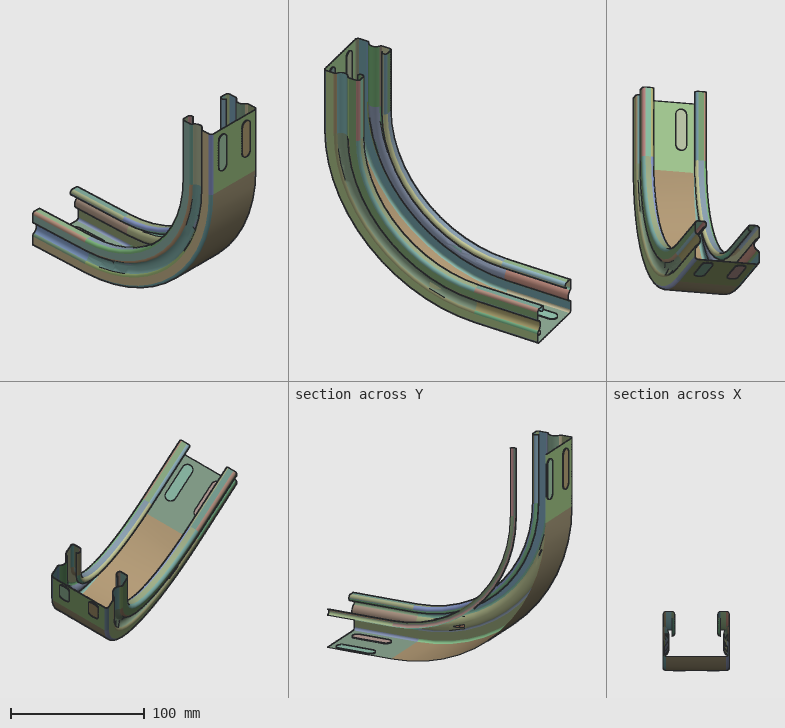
import cadquery as cq
import math

overall_size = 185.6
channel_width = 50.0
channel_height = 30.8
arm_length = 54.5
sheet_thickness = 0.5
corner_radius = 2.5

groove_height = 15.8
groove_half_width = 6.7
groove_valley_radius = 5.0
groove_lip_radius = 2.6

flange_reach = 9.1
curl_radius = 2.5
curl_straight = 0.4

pad_length = 32.3
pad_width = 8.4
pad_spacing = 25.5
pad_end_gap = 5.0
pad_rise = 0.46

half_width = channel_width / 2
bend_radius = overall_size - pad_rise - arm_length
bend_axis_height = pad_rise + bend_radius
groove_pitch_radius = groove_lip_radius + groove_valley_radius
groove_angle = math.degrees(math.asin(groove_half_width / groove_pitch_radius))
groove_lip_y = half_width - groove_lip_radius
groove_valley_y = groove_lip_y + groove_pitch_radius * math.cos(math.radians(groove_angle))

wall_corner_y = half_width - corner_radius
flange_corner_height = channel_height - corner_radius
curl_y = half_width - flange_reach + curl_radius
curl_height = channel_height - curl_radius
BENDS = [
    (wall_corner_y, corner_radius, corner_radius, -90, 0),
    (groove_lip_y, groove_height - groove_half_width, groove_lip_radius, 0, groove_angle),
    (groove_valley_y, groove_height, groove_valley_radius, 180 + groove_angle, 180 - groove_angle),
    (groove_lip_y, groove_height + groove_half_width, groove_lip_radius, -groove_angle, 0),
    (wall_corner_y, flange_corner_height, corner_radius, 0, 90),
    (curl_y, curl_height, curl_radius, 90, 180),
    (curl_y, curl_height - curl_straight, curl_radius, 180, 270),
]
TOUCHING = 1.86e-06


def bend_arc(y, height, radius, start, end):
    """Start, middle and end points of a bend."""
    turns = [math.radians(angle) for angle in (start, (start + end) / 2, end)]
    return [(y + radius * math.cos(turn), pad_rise + height + radius * math.sin(turn)) for turn in turns]


def inner_arc(y, height, radius, start, end):
    """The inner face of a bend, followed backwards; clockwise bends are hollow outside."""
    inset = sheet_thickness if end > start else -sheet_thickness
    return bend_arc(y, height, radius - inset, end, start)


def half_section(x):
    """Sheet outline of the +Y half of the channel, in the plane at x."""
    arcs = [bend_arc(*bend) for bend in BENDS] + [inner_arc(*bend) for bend in reversed(BENDS)]
    position = (0, pad_rise)
    path = cq.Workplane("YZ", origin=(x, 0, 0)).moveTo(*position)
    for start, middle, end in arcs:
        if math.dist(position, start) > TOUCHING:
            path = path.lineTo(*start)
        path = path.threePointArc(middle, end)
        position = end
    return path.lineTo(0, pad_rise + sheet_thickness).close()


def both_halves(half):
    return half.union(half.mirror("XZ"))


def straight_arm():
    """Arm along X from the open end to the bend, with its floor pads."""
    arm = both_halves(half_section(0).extrude(arm_length))
    pads = (
        cq.Workplane("XY")
        .pushPoints([(pad_end_gap + pad_length / 2, side * pad_spacing / 2) for side in (-1, 1)])
        .slot2D(pad_length, pad_width)
        .extrude(sheet_thickness + 2 * pad_rise)
    )
    return arm.union(pads)


def quarter_bend():
    half = half_section(arm_length).revolve(90, (0, bend_axis_height), (-1, bend_axis_height))
    return both_halves(half)


level_arm = straight_arm()
upright_arm = level_arm.mirror(cq.Vector(1, 0, 1), (arm_length, 0, bend_axis_height))
result = level_arm.union(quarter_bend()).union(upright_arm)